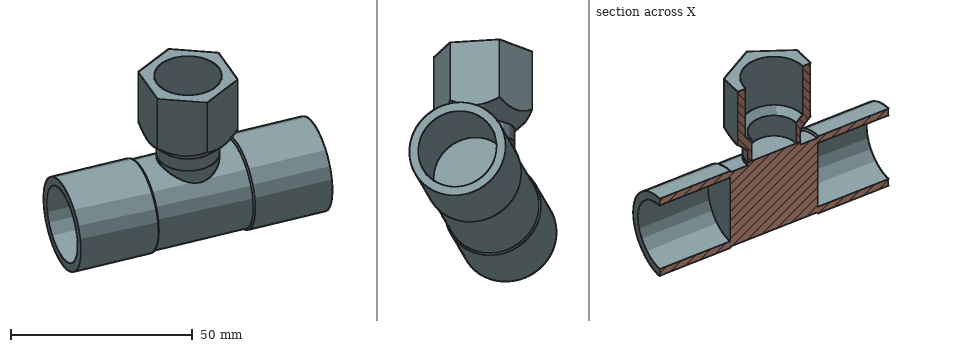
import cadquery as cq

run_length = 75.0
run_diameter = 26.0
socket_outer_diameter = 27.0
socket_bore_diameter = 22.0
socket_length = 23.0
shoulder_length = 0.45

branch_diameter = 17.5
branch_top = 14.0

nut_top = 40.0
nut_corner_diameter = 27.7
nut_cone_bottom = 18.1
nut_bore_diameter = 18.6
nut_throat_diameter = 14.5

branch_radius = branch_diameter / 2
nut_corner_radius = nut_corner_diameter / 2
nut_cone_top = nut_cone_bottom + nut_corner_radius - branch_radius


def make_run():
    """Round run with a larger socket at each end, revolved about Y."""
    end = run_length / 2
    shoulder_outer = end - socket_length
    shoulder_inner = shoulder_outer - shoulder_length
    run_radius = run_diameter / 2
    socket_radius = socket_outer_diameter / 2
    profile = [
        (0, -end),
        (socket_radius, -end),
        (socket_radius, -shoulder_outer),
        (run_radius, -shoulder_inner),
        (run_radius, shoulder_inner),
        (socket_radius, shoulder_outer),
        (socket_radius, end),
        (0, end),
    ]
    return cq.Workplane("XY").polyline(profile).close().revolve(360, (0, 0), (0, 1))


def make_socket_bores():
    """Blind bores, one from each end of the run."""
    bore = (
        cq.Workplane("XZ", origin=(0, run_length / 2, 0))
        .circle(socket_bore_diameter / 2)
        .extrude(socket_length)
    )
    return bore.union(bore.mirror("XZ"))


def make_tee():
    branch = cq.Workplane("XY").circle(branch_radius).extrude(branch_top)
    return make_run().union(branch).cut(make_socket_bores())


def make_nut_envelope():
    """Neck, 45 degree cone and corner cylinder that bound the hexagon."""
    profile = [
        (0, branch_top),
        (branch_radius, branch_top),
        (branch_radius, nut_cone_bottom),
        (nut_corner_radius, nut_cone_top),
        (nut_corner_radius, nut_top),
        (0, nut_top),
    ]
    return cq.Workplane("XZ").polyline(profile).close().revolve(360, (0, 0), (0, 1))


def make_nut_bore():
    """Wide bore, 45 degree seat and narrower throat down to the branch."""
    bore_radius = nut_bore_diameter / 2
    throat_radius = nut_throat_diameter / 2
    seat_top = nut_cone_top
    seat_bottom = seat_top - (bore_radius - throat_radius)
    profile = [
        (0, branch_top),
        (throat_radius, branch_top),
        (throat_radius, seat_bottom),
        (bore_radius, seat_top),
        (bore_radius, nut_top),
        (0, nut_top),
    ]
    return cq.Workplane("XZ").polyline(profile).close().revolve(360, (0, 0), (0, 1))


def make_nut():
    hexagon = (
        cq.Workplane("XY", origin=(0, 0, branch_top))
        .polygon(6, nut_corner_diameter)
        .extrude(nut_top - branch_top)
    )
    return hexagon.intersect(make_nut_envelope()).cut(make_nut_bore())


tee = make_tee().solids()
nut = make_nut().solids()

result = cq.Compound.makeCompound([tee.val(), nut.val()])